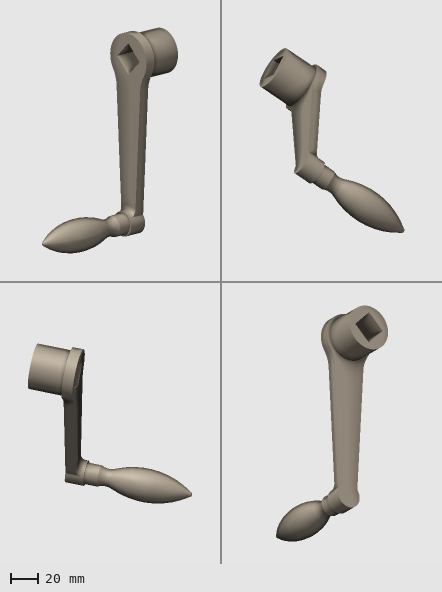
import cadquery as cq
import math


head_radius = 39.0 / 2
sleeve_diameter = 34.0
sleeve_length = 26.0
socket_side = 17.1

overall_height = 156.8

arm_thickness = 8.0
arm_half_width_at_hub = 14.0
arm_half_width_at_grip = 7.0
head_blend_radius = 25.1

boss_radius = 19.0 / 2
boss_length = 14.0
boss_fillet = 3.9

shank_radius = 8.0
shank_end = 24.0
neck_radius = 6.6
neck_position = 29.6
grip_radius = 12.5
grip_position = 58.5
tip_radius = 2.0
tip_start = 92.4
tip_end = 94.0

axis_spacing = overall_height - head_radius - grip_radius


def arm_blank():
    """Tapered bar running from the hub axis to the grip axis."""
    return (
        cq.Workplane("XZ")
        .polyline([
            (-arm_half_width_at_hub, 0),
            (arm_half_width_at_hub, 0),
            (arm_half_width_at_grip, -axis_spacing),
            (-arm_half_width_at_grip, -axis_spacing),
        ])
        .close()
    )


def arm_with_head():
    """Round head blended into the tapered bar."""
    head = cq.Workplane("XZ").circle(head_radius).extrude(arm_thickness)
    plate = head.union(arm_blank().extrude(arm_thickness))
    corner_zone = cq.selectors.BoxSelector(
        (-head_radius, -arm_thickness, -head_radius),
        (head_radius, 0, -head_radius / 2),
    )
    return plate.edges("|Y").edges(corner_zone).fillet(head_blend_radius)


def sleeve():
    return cq.Workplane("XZ").circle(sleeve_diameter / 2).extrude(-sleeve_length)


def square_socket():
    """Cutter for the through socket, standing on one corner."""
    return (
        cq.Workplane("XZ", origin=(0, sleeve_length, 0))
        .transformed(rotate=(0, 0, 45))
        .rect(socket_side, socket_side)
        .extrude(sleeve_length + arm_thickness)
    )


def boss():
    return (
        cq.Workplane("XZ", origin=(0, 0, -axis_spacing))
        .circle(boss_radius)
        .extrude(boss_length)
    )


def boss_flare():
    """Concave fillet between boss and arm, trimmed to the width of the arm."""
    flare_end = arm_thickness + boss_fillet
    flare_radius = boss_radius + boss_fillet
    inset = boss_fillet * (1 - math.sqrt(0.5))
    ring = (
        cq.Workplane("XY", origin=(0, 0, -axis_spacing))
        .moveTo(0, -arm_thickness)
        .lineTo(flare_radius, -arm_thickness)
        .threePointArc(
            (boss_radius + inset, -(arm_thickness + inset)),
            (boss_radius, -flare_end),
        )
        .lineTo(0, -flare_end)
        .close()
        .revolve(360, (0, 0), (0, 1))
    )
    return ring.intersect(arm_blank().extrude(flare_end))


def arc_radius(run, rise):
    """Radius of an arc that is level at one end and covers the given run and rise."""
    return (run**2 + rise**2) / (2 * rise)


def grip():
    """Shank, waisted neck and bulbous grip with a domed tip, turned about one axis."""
    bulge_arc = arc_radius(tip_start - grip_position, grip_radius - tip_radius)
    entry_arc = arc_radius(neck_position - shank_end, shank_radius - neck_radius)

    bulge_run = grip_position - neck_position
    exit_arc = arc_radius(bulge_run, grip_radius - neck_radius) - bulge_arc
    slope = math.asin(bulge_run / (exit_arc + bulge_arc))
    joint = (
        neck_radius + exit_arc * (1 - math.cos(slope)),
        -(neck_position + exit_arc * math.sin(slope)),
    )
    dome_arc = arc_radius(tip_radius, tip_end - tip_start)

    return (
        cq.Workplane("XY", origin=(0, 0, -axis_spacing))
        .lineTo(shank_radius, 0)
        .lineTo(shank_radius, -shank_end)
        .radiusArc((neck_radius, -neck_position), -entry_arc)
        .radiusArc(joint, -exit_arc)
        .threePointArc((grip_radius, -grip_position), (tip_radius, -tip_start))
        .radiusArc((0, -tip_end), dome_arc)
        .close()
        .revolve(360, (0, 0), (0, 1))
    )


result = (
    arm_with_head()
    .union(sleeve())
    .union(boss())
    .union(boss_flare())
    .union(grip())
    .cut(square_socket())
)